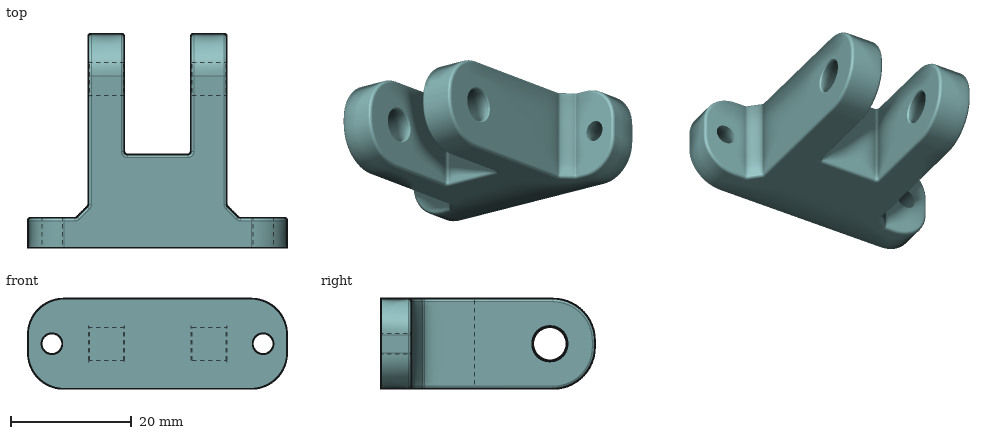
import cadquery as cq


base_length = 43.0
base_thickness = 5.0
base_corner_radius = 6.0
screw_hole_diameter = 3.4
screw_hole_spacing = 35.0

thickness = 15.0
total_height = 35.5
fork_width = 23.0
slot_width = 11.0
slot_depth = 20.0
tip_radius = 7.0
gusset_size = 2.0
pin_hole_diameter = 5.5
pin_hole_height = 28.0

edge_radius = 0.5
pin_rim_chamfer = 0.2

half_base = base_length / 2
half_fork = fork_width / 2
half_slot = slot_width / 2
half_thickness = thickness / 2
slot_floor = total_height - slot_depth
gusset_top = base_thickness + gusset_size
gusset_foot = half_fork + gusset_size


def mirrored_in_x(points):
    """Return the points followed by their mirror images across X = 0."""
    return points + [(-x, y, z) for x, y, z in points]


def edges_near(body, points):
    """Select the edge whose centre is closest to each point."""
    selected = body.newObject([])
    for point in points:
        selected = selected.add(body.edges(cq.selectors.NearestToPointSelector(point)))
    return selected


def make_body():
    """Extrude the outline of the base, gussets and fork through the full thickness."""
    right_side = [
        (half_base, 0),
        (half_base, base_thickness),
        (gusset_foot, base_thickness),
        (half_fork, gusset_top),
        (half_fork, total_height),
        (half_slot, total_height),
        (half_slot, slot_floor),
    ]
    left_side = [(-x, y) for x, y in reversed(right_side)]
    outline = cq.Workplane("XY").polyline(right_side + left_side).close()
    return outline.extrude(half_thickness, both=True)


def round_base_and_tips(body):
    """Round the four corners of the base plate and the ends of both fork arms."""
    base_corners = [(half_base, base_thickness / 2, z) for z in (-half_thickness, half_thickness)]
    body = edges_near(body, mirrored_in_x(base_corners)).fillet(base_corner_radius)
    return body.faces(">Y").edges("|X").fillet(tip_radius)


def blend_outline_corners(body):
    """Blend the slot corners and both ends of each gusset, so the rims become smooth chains."""
    corners = [
        (gusset_foot, base_thickness, 0),
        (half_fork, gusset_top, 0),
        (half_slot, slot_floor, 0),
    ]
    return edges_near(body, mirrored_in_x(corners)).fillet(edge_radius)


def soften_rims(body):
    """Round the rims of the outer sides and the slot; one seed edge rounds its whole smooth chain."""
    arm_middle = (gusset_top + total_height - tip_radius) / 2
    outer_seeds = [(half_fork, arm_middle, half_thickness)]
    slot_seeds = [(0, slot_floor, half_thickness)]
    return edges_near(body, mirrored_in_x(outer_seeds) + slot_seeds).fillet(edge_radius)


def cut_screw_holes(body):
    """Drill the two mounting holes through the base plate along Y."""
    half_spacing = screw_hole_spacing / 2
    drills = (
        cq.Workplane("XZ")
        .pushPoints([(-half_spacing, 0), (half_spacing, 0)])
        .circle(screw_hole_diameter / 2)
        .extrude(-base_thickness)
    )
    return body.cut(drills)


def cut_pin_hole(body):
    """Drill the pin hole through both arms along X and chamfer its rim on all four arm faces."""
    drill = (
        cq.Workplane("YZ")
        .center(pin_hole_height, 0)
        .circle(pin_hole_diameter / 2)
        .extrude(half_fork, both=True)
    )
    body = body.cut(drill)
    rim_centres = [(x, pin_hole_height, 0) for x in (-half_fork, -half_slot, half_slot, half_fork)]
    return edges_near(body, rim_centres).chamfer(pin_rim_chamfer)


result = make_body()
result = round_base_and_tips(result)
result = blend_outline_corners(result)
result = soften_rims(result)
result = cut_screw_holes(result)
result = cut_pin_hole(result)